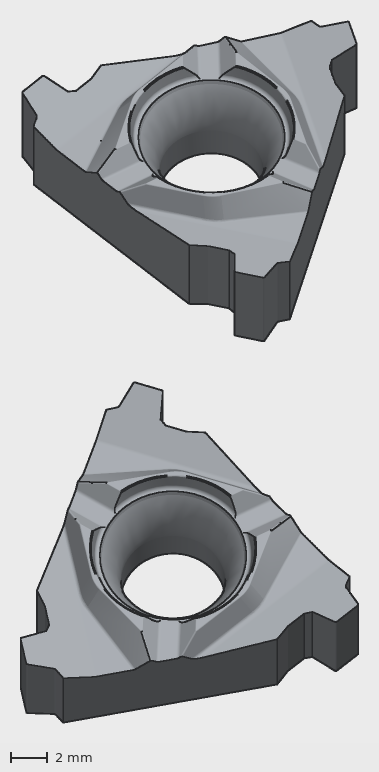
import cadquery as cq
import math

CORNERS = 3
TURN = 360 / CORNERS

INSCRIBED_RADIUS = 6.35
SHOULDER_Y = 7.43
LAND_Y = 7.52
ROOT_Y = 7.77
TIP_Y = 9.29
TIP_LEFT_X = -5.37
TIP_RIGHT_X = -3.7
FLANK_RUN = 0.37
LAND_START_X = -2.94
LAND_END_X = -1.75
TIP_ROUND = 0.1
ROOT_ROUND = 0.15

TOP_Z = 5.83
TIP_Z = 5.6
FLOOR_Z = 4.59
RAKE_ANGLE = 15.5
RAKE_ROUND = 0.63

WALL_FOOT = 5.43
WALL_TOP = 4.72
FOOT_SWING = 22.5
TOP_SWING = 29.5
FOOT_BEND_X = -1.58
TOP_BEND_X = -1.25
FOOT_BEND_ROUND = 2.6
TOP_BEND_ROUND = FOOT_BEND_ROUND * FOOT_SWING / TOP_SWING
FLOOR_ROUND = 0.19
WALL_REACH = 13.0

NOTCH_DIRECTION = 166.0
NOTCH_FLOOR_Z = 5.0
NOTCH_FLOOR_WIDTH = 1.11
NOTCH_SIDE_SLOPE = 43.0
NOTCH_ROUND = 0.28

ISLAND_ROUND = 0.07
UPPER_RIDGE = (-5.5, 2.73, 5.57)
LOWER_RIDGE = (-5.85, 0.35, 5.52)

BORE_RADIUS = 5.7 / 2
SEAT_RADIUS = 3.9
SEAT_BOTTOM_Z = 2.03
SEAT_TOP_Z = 4.8
LEDGE_RADIUS = 4.01
LEDGE_Z = 5.0
RECESS_FOOT_RADIUS = 4.25
RECESS_FOOT_ROUND = 0.26
RECESS_TOP_RADIUS = 4.51

CLEARANCE = 0.93


def turned(x, y, angle):
    """Turn a point about the hole axis."""
    c = math.cos(math.radians(angle))
    s = math.sin(math.radians(angle))
    return (x * c - y * s, x * s + y * c)


def at_each_corner(shape):
    """Return the shape with its copies at the other corners."""
    return [shape.rotate((0, 0, 0), (0, 0, 1), i * TURN) for i in range(CORNERS)]


def body():
    side_normal = math.radians(60)
    heel_x = (INSCRIBED_RADIUS - ROOT_Y * math.sin(side_normal)) / math.cos(side_normal)
    shoulder = (-INSCRIBED_RADIUS, SHOULDER_Y)
    left_root = (TIP_LEFT_X - FLANK_RUN, ROOT_Y)
    left_tip = (TIP_LEFT_X, TIP_Y)
    right_tip = (TIP_RIGHT_X, TIP_Y)
    right_root = (TIP_RIGHT_X + FLANK_RUN, ROOT_Y)
    land_start = (LAND_START_X, LAND_Y)
    land_end = (LAND_END_X, LAND_Y)
    heel = (heel_x, ROOT_Y)
    corner = [shoulder, left_root, left_tip, right_tip, right_root, land_start, land_end, heel]
    outline = [turned(x, y, -i * TURN) for i in range(CORNERS) for x, y in corner]
    prism = cq.Workplane("XY").polyline(outline).close().extrude(TOP_Z)

    def rounded(solid, points, radius):
        for i in range(CORNERS):
            for point in points:
                x, y = turned(*point, -i * TURN)
                upright = cq.selectors.NearestToPointSelector((x, y, TOP_Z / 2))
                solid = solid.edges(upright).fillet(radius)
        return solid

    prism = rounded(prism, [left_tip, right_tip], TIP_ROUND)
    return rounded(prism, [left_root], ROOT_ROUND)


def wall_outline(plane, distance, swing, bend_x, bend_round):
    """Region outside the chip breaker wall, with a rounded bend between its two straights."""
    setback = bend_round * math.tan(math.radians(swing / 2))
    along = (math.cos(math.radians(swing)), math.sin(math.radians(swing)))
    straight_end = (bend_x + setback, distance)
    swept_start = (bend_x - setback * along[0], distance - setback * along[1])
    swept_end = (bend_x - WALL_REACH * along[0], distance - WALL_REACH * along[1])
    return (
        plane.moveTo(WALL_REACH, distance)
        .lineTo(*straight_end)
        .tangentArcPoint(swept_start, relative=False)
        .lineTo(*swept_end)
        .lineTo(-WALL_REACH, WALL_REACH)
        .lineTo(WALL_REACH, WALL_REACH)
        .close()
    )


def chip_breaker():
    foot = wall_outline(cq.Workplane("XY", origin=(0, 0, FLOOR_Z)), WALL_FOOT, FOOT_SWING,
                        FOOT_BEND_X, FOOT_BEND_ROUND)
    foot_and_top = wall_outline(foot.workplane(offset=TOP_Z - FLOOR_Z), WALL_TOP, TOP_SWING,
                                TOP_BEND_X, TOP_BEND_ROUND)
    pocket = foot_and_top.loft(ruled=True).faces("<Z").edges().fillet(FLOOR_ROUND)
    slope = math.tan(math.radians(RAKE_ANGLE))
    rake_foot = TIP_Y - (TIP_Z - FLOOR_Z) / slope
    setback = RAKE_ROUND * math.tan(math.radians(RAKE_ANGLE / 2))
    round_end = (
        rake_foot + setback * math.cos(math.radians(RAKE_ANGLE)),
        FLOOR_Z + setback * math.sin(math.radians(RAKE_ANGLE)),
    )
    below_rake = (
        cq.Workplane("YZ")
        .moveTo(WALL_TOP, FLOOR_Z)
        .lineTo(rake_foot - setback, FLOOR_Z)
        .tangentArcPoint(round_end, relative=False)
        .lineTo(WALL_REACH, TIP_Z + (WALL_REACH - TIP_Y) * slope)
        .lineTo(WALL_REACH, FLOOR_Z - CLEARANCE)
        .lineTo(WALL_TOP, FLOOR_Z - CLEARANCE)
        .close()
        .extrude(2 * WALL_REACH, both=True)
    )
    return pocket.cut(below_rake)


def notch():
    depth = TOP_Z + CLEARANCE - NOTCH_FLOOR_Z
    floor_half = NOTCH_FLOOR_WIDTH / 2
    mouth_half = floor_half + depth / math.tan(math.radians(NOTCH_SIDE_SLOPE))
    channel = (
        cq.Workplane("YZ", origin=(0, 0, NOTCH_FLOOR_Z))
        .polyline([(-floor_half, 0), (floor_half, 0), (mouth_half, depth), (-mouth_half, depth)])
        .close()
        .extrude(WALL_REACH)
        .edges("|X and <Z")
        .fillet(NOTCH_ROUND)
    )
    return channel.rotate((0, 0, 0), (0, 0, 1), NOTCH_DIRECTION)


def hole():
    flare = SEAT_RADIUS - BORE_RADIUS
    seat_height = SEAT_TOP_Z - SEAT_BOTTOM_Z
    seat_round = (flare**2 + seat_height**2) / (2 * flare)
    half_sweep = math.asin(seat_height / seat_round) / 2
    mid = (
        BORE_RADIUS + seat_round * (1 - math.cos(half_sweep)),
        SEAT_BOTTOM_Z + seat_round * math.sin(half_sweep),
    )
    recess_slope = math.atan2(TOP_Z - LEDGE_Z, RECESS_TOP_RADIUS - RECESS_FOOT_RADIUS)
    setback = RECESS_FOOT_ROUND * math.tan(recess_slope / 2)
    round_end = (
        RECESS_FOOT_RADIUS + setback * math.cos(recess_slope),
        LEDGE_Z + setback * math.sin(recess_slope),
    )
    profile = (
        cq.Workplane("XZ")
        .lineTo(BORE_RADIUS, 0)
        .lineTo(BORE_RADIUS, SEAT_BOTTOM_Z)
        .threePointArc(mid, (SEAT_RADIUS, SEAT_TOP_Z))
        .lineTo(LEDGE_RADIUS, LEDGE_Z)
        .lineTo(RECESS_FOOT_RADIUS - setback, LEDGE_Z)
        .tangentArcPoint(round_end, relative=False)
        .lineTo(RECESS_TOP_RADIUS, TOP_Z)
        .lineTo(0, TOP_Z)
        .close()
    )
    return profile.revolve(360, (0, 0, 0), (0, 1, 0))


def round_island(solid):
    edges = solid.faces(">Z").edges().vals()
    for i in range(CORNERS):
        for x, y, z in (UPPER_RIDGE, LOWER_RIDGE):
            ridge = cq.selectors.NearestToPointSelector((*turned(x, y, i * TURN), z))
            edges += solid.edges(ridge).vals()
    return solid.newObject(edges).fillet(ISLAND_ROUND)


result = body()
for cutter in (chip_breaker(), notch()):
    for copy in at_each_corner(cutter):
        result = result.cut(copy)
result = result.cut(hole())
result = round_island(result)